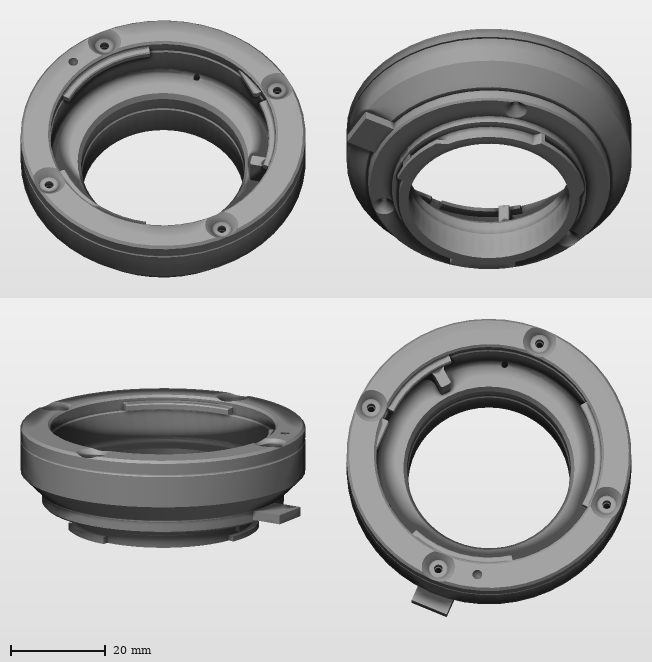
import cadquery as cq
import math

COLLAR_Z = 3.05
FLANGE_Z = 4.8
JOINT_Z = 7.8
CONE_TOP_Z = 11.75
FLOOR_Z = 11.75
PLATE_Z = 18.85
TOP_Z = 21.8

OUTER_R = 30.0

PLATE_BORE_R = 24.0
LIP_R = 23.75
PLATE_OUTER_CHAMFER = 0.55
LIP_CHAMFER = 0.5
SCREW_CIRCLE_R = 27.0
SCREW_ANGLES = [45, 135, 225, 315]
SCREW_CLEARANCE_D = 1.85
SCREW_TAPPED_D = 1.4
SCREW_TAPPED_DEPTH = 3.6
SINK_TOP_R = 3.5
SINK_FLAT_R = 2.0
SINK_DEPTH = SINK_TOP_R - SINK_FLAT_R
INDEX_DIMPLE_R = 1.0
INDEX_DIMPLE_CIRCLE_R = 26.65
INDEX_DIMPLE_ANGLE = 153

PLATE_LUG_R = 22.25
PLATE_LUG_Z = 19.15
PLATE_LUG_TOP_Z = 20.4
PLATE_LUG_CHAMFER = 0.25
PLATE_LUG_ROOT_R = 23.6
PLATE_LUG_SPANS = [(-1, 42), (115, 170.5), (220, 278.5)]
FLAT_LUG_ANGLE = 45
FLAT_LUG_GAP = 1.2
FLAT_LUG_CORNER = 0.4

HOUSING_BORE_R = 23.7
HOUSING_BORE_CHAMFER = 0.3
HOUSING_RIM_CHAMFER = 0.5
FLOOR_FILLET = 1.0
APERTURE_R = 17.3
APERTURE_SINK_R = 18.0
APERTURE_SINK_DEPTH = 1.15
POST_ANGLE = 6.7
POST_INNER_R = 18.85
POST_WIDTH = 2.35
POST_TOP_Z = 17.35
POST_CORNER_FILLET = 0.4
POST_ROOT_R = 1.9

BAYONET_BORE_R = 34.0 / 2
BORE_STEP_Z = 7.45
FLANGE_R = 51.0 / 2
FLANGE_CHAMFER = 0.4
COLLAR_R = 20.45
BAYONET_R = 19.0
BAYONET_LUG_R = 20.35
BAYONET_LUG_HEIGHT = 1.15
STOP_LUG_ANGLES = (225.3, 228.8, 276.8, 282.4)
LEVER_LUG_ANGLES = (124.7, 124.7, 163.1, 168.5)
TALL_LUG_ANGLES = (0, 0, 40, 40)
STOP_END_ANGLE = 231.4
TALL_LUG_HEIGHT = 1.5
FLANGE_SCREW_CIRCLE_R = 23.05
FLANGE_SCREW_ANGLES = [90, 210, 330]
FLANGE_SCREW_D = 1.4
FLANGE_SINK_R = 2.4

LEVER_ANGLE = 135
LEVER_REACH = 31.9
LEVER_WIDTH = 8.05
LEVER_Z = 5.6
LEVER_TOP_Z = 7.55
KEY_WIDTH = 2.65
NECK_OUTER_R = 20.3
KEY_OUTER_R = 20.05
KEY_Z = 1.7
KEY_FILLET = 0.4
SLOT_WIDTH = 3.0


def polar(radius, angle):
    """Point at a radius and an angle in degrees."""
    return (radius * math.cos(math.radians(angle)), radius * math.sin(math.radians(angle)))


def revolve(profile, sweep=360):
    """Solid turned about Z from a closed (radius, height) profile."""
    return cq.Workplane("XZ").polyline(profile).close().revolve(sweep, (0, 0, 0), (0, 1, 0))


def rotate_z(shape, angle):
    return shape.rotate((0, 0, 0), (0, 0, 1), angle)


def radial_block(inner, outer, width, bottom, top, angle):
    """Box reaching from one radius to another along the given direction."""
    block = cq.Workplane("XY").box(
        outer - inner, width, top - bottom, centered=(False, True, False)
    )
    return rotate_z(block.translate((inner, 0, bottom)), angle)


def drill(radius, angle, diameter, bottom, top):
    """Cylinder parallel to Z, used as a cutting tool."""
    hole = cq.Workplane("XY").circle(diameter / 2).extrude(top - bottom)
    return hole.translate((*polar(radius, angle), bottom))


def plate_lug(start, end):
    """Curved lug on the plate bore with its upper inner edge bevelled and a sloped root."""
    profile = [
        (PLATE_LUG_R, PLATE_LUG_Z),
        (PLATE_BORE_R, PLATE_LUG_Z),
        (PLATE_BORE_R, PLATE_LUG_TOP_Z + PLATE_BORE_R - PLATE_LUG_ROOT_R),
        (PLATE_LUG_ROOT_R, PLATE_LUG_TOP_Z),
        (PLATE_LUG_R + PLATE_LUG_CHAMFER, PLATE_LUG_TOP_Z),
        (PLATE_LUG_R, PLATE_LUG_TOP_Z - PLATE_LUG_CHAMFER),
    ]
    return rotate_z(revolve(profile, end - start), start)


def flat_lug():
    """Lug with a straight inner face that runs out into the plate bore."""
    chord_end = math.sqrt(PLATE_BORE_R**2 - PLATE_LUG_R**2)
    mid_angle = math.degrees(math.atan2(chord_end, PLATE_LUG_R)) / 2
    root = (math.sqrt(PLATE_BORE_R**2 - FLAT_LUG_GAP**2), FLAT_LUG_GAP)
    outline = (
        cq.Workplane("XY", origin=(0, 0, PLATE_LUG_Z))
        .moveTo(PLATE_LUG_R + FLAT_LUG_CORNER, FLAT_LUG_GAP)
        .lineTo(*root)
        .threePointArc(polar(PLATE_BORE_R, mid_angle), (PLATE_LUG_R, chord_end))
        .lineTo(PLATE_LUG_R, FLAT_LUG_GAP + FLAT_LUG_CORNER)
        .close()
    )
    lug = outline.extrude(PLATE_LUG_TOP_Z - PLATE_LUG_Z)
    lug = lug.faces("<X").edges(">Z").chamfer(PLATE_LUG_CHAMFER)
    return rotate_z(lug, FLAT_LUG_ANGLE)


def countersink(angle):
    sink = revolve([
        (0, TOP_Z - SINK_DEPTH),
        (SINK_FLAT_R, TOP_Z - SINK_DEPTH),
        (SINK_TOP_R, TOP_Z),
        (0, TOP_Z),
    ])
    return sink.translate((*polar(SCREW_CIRCLE_R, angle), 0))


def make_mount_plate():
    plate = revolve([
        (PLATE_BORE_R, PLATE_Z),
        (OUTER_R, PLATE_Z),
        (OUTER_R, TOP_Z - PLATE_OUTER_CHAMFER),
        (OUTER_R - PLATE_OUTER_CHAMFER, TOP_Z),
        (LIP_R + LIP_CHAMFER, TOP_Z),
        (LIP_R, TOP_Z - LIP_CHAMFER),
    ])
    for start, end in PLATE_LUG_SPANS:
        plate = plate.union(plate_lug(start, end))
    plate = plate.union(flat_lug())
    for angle in SCREW_ANGLES:
        plate = plate.cut(countersink(angle))
        plate = plate.cut(drill(SCREW_CIRCLE_R, angle, SCREW_CLEARANCE_D, PLATE_Z, TOP_Z))
    dimple = cq.Workplane("XY").sphere(INDEX_DIMPLE_R)
    dimple = dimple.translate((*polar(INDEX_DIMPLE_CIRCLE_R, INDEX_DIMPLE_ANGLE), TOP_Z))
    return plate.cut(dimple)


def housing_shell():
    """Turned shell: cone, outer wall, wide bore with a rounded floor corner, aperture."""
    cone_r = OUTER_R - (CONE_TOP_Z - JOINT_Z)
    fillet_mid = FLOOR_FILLET * (1 - math.sqrt(0.5))
    outline = (
        cq.Workplane("XZ")
        .moveTo(APERTURE_R, JOINT_Z)
        .lineTo(cone_r, JOINT_Z)
        .lineTo(OUTER_R, CONE_TOP_Z)
        .lineTo(OUTER_R, PLATE_Z - HOUSING_RIM_CHAMFER)
        .lineTo(OUTER_R - HOUSING_RIM_CHAMFER, PLATE_Z)
        .lineTo(HOUSING_BORE_R + HOUSING_BORE_CHAMFER, PLATE_Z)
        .lineTo(HOUSING_BORE_R, PLATE_Z - HOUSING_BORE_CHAMFER)
        .lineTo(HOUSING_BORE_R, FLOOR_Z + FLOOR_FILLET)
        .threePointArc(
            (HOUSING_BORE_R - fillet_mid, FLOOR_Z + fillet_mid),
            (HOUSING_BORE_R - FLOOR_FILLET, FLOOR_Z),
        )
        .lineTo(APERTURE_SINK_R, FLOOR_Z)
        .lineTo(APERTURE_R, FLOOR_Z - APERTURE_SINK_DEPTH)
        .close()
    )
    return outline.revolve(360, (0, 0, 0), (0, 1, 0))


def post():
    """Upright post on the floor, flared into the bore wall by concave arcs."""
    half = POST_WIDTH / 2
    flare = half + POST_ROOT_R
    wall_x = math.sqrt(HOUSING_BORE_R**2 - flare**2)
    neck_x = wall_x - POST_ROOT_R
    back_x = (HOUSING_BORE_R + OUTER_R) / 2
    arc_in = POST_ROOT_R * math.sqrt(0.5)
    outline = (
        cq.Workplane("XY", origin=(0, 0, FLOOR_Z))
        .moveTo(POST_INNER_R, -half)
        .lineTo(neck_x, -half)
        .threePointArc((neck_x + arc_in, arc_in - flare), (wall_x, -flare))
        .lineTo(back_x, -flare)
        .lineTo(back_x, flare)
        .lineTo(wall_x, flare)
        .threePointArc((neck_x + arc_in, flare - arc_in), (neck_x, half))
        .lineTo(POST_INNER_R, half)
        .close()
    )
    body = outline.extrude(POST_TOP_Z - FLOOR_Z)
    body = body.edges("|Z and <X").fillet(POST_CORNER_FILLET)
    return rotate_z(body, POST_ANGLE)


def make_housing():
    housing = housing_shell().union(post())
    fillet_top_z = FLOOR_Z + FLOOR_FILLET
    for angle in SCREW_ANGLES:
        tapped = drill(SCREW_CIRCLE_R, angle, SCREW_TAPPED_D, PLATE_Z - SCREW_TAPPED_DEPTH, PLATE_Z)
        housing = housing.cut(tapped)
    for angle in FLANGE_SCREW_ANGLES:
        through = drill(FLANGE_SCREW_CIRCLE_R, angle, FLANGE_SCREW_D, JOINT_Z, fillet_top_z)
        housing = housing.cut(through)
    return housing


def bayonet_lug(angles, height):
    """Outer lug on the bayonet tube; its ends slope between the two radii."""
    inner_start, outer_start, outer_end, inner_end = angles
    root_r = (BAYONET_BORE_R + BAYONET_R) / 2
    outline = (
        cq.Workplane("XY")
        .moveTo(*polar(root_r, inner_start))
        .lineTo(*polar(BAYONET_R, inner_start))
        .lineTo(*polar(BAYONET_LUG_R, outer_start))
        .threePointArc(
            polar(BAYONET_LUG_R, (outer_start + outer_end) / 2),
            polar(BAYONET_LUG_R, outer_end),
        )
        .lineTo(*polar(BAYONET_R, inner_end))
        .lineTo(*polar(root_r, inner_end))
        .threePointArc(
            polar(root_r, (inner_start + inner_end) / 2),
            polar(root_r, inner_start),
        )
        .close()
    )
    return outline.extrude(height)


def flange_screw_hole(angle):
    """Through hole, countersunk from the rear face of the flange."""
    shank_r = FLANGE_SCREW_D / 2
    hole = revolve([
        (0, FLANGE_Z),
        (FLANGE_SINK_R, FLANGE_Z),
        (shank_r, FLANGE_Z + FLANGE_SINK_R - shank_r),
        (shank_r, JOINT_Z),
        (0, JOINT_Z),
    ])
    return hole.translate((*polar(FLANGE_SCREW_CIRCLE_R, angle), 0))


def make_bayonet():
    bayonet = revolve([
        (BAYONET_BORE_R, 0),
        (BAYONET_R, 0),
        (BAYONET_R, COLLAR_Z),
        (COLLAR_R, COLLAR_Z),
        (COLLAR_R, FLANGE_Z),
        (FLANGE_R - FLANGE_CHAMFER, FLANGE_Z),
        (FLANGE_R, FLANGE_Z + FLANGE_CHAMFER),
        (FLANGE_R, JOINT_Z - FLANGE_CHAMFER),
        (FLANGE_R - FLANGE_CHAMFER, JOINT_Z),
        (APERTURE_R, JOINT_Z),
        (APERTURE_R, BORE_STEP_Z),
        (BAYONET_BORE_R, BORE_STEP_Z - (APERTURE_R - BAYONET_BORE_R)),
    ])
    bayonet = bayonet.union(bayonet_lug(STOP_LUG_ANGLES, BAYONET_LUG_HEIGHT))
    bayonet = bayonet.union(bayonet_lug(LEVER_LUG_ANGLES, BAYONET_LUG_HEIGHT))
    bayonet = bayonet.union(bayonet_lug(TALL_LUG_ANGLES, TALL_LUG_HEIGHT))
    stop_angles = (*STOP_LUG_ANGLES[:2], STOP_END_ANGLE, STOP_END_ANGLE)
    bayonet = bayonet.union(bayonet_lug(stop_angles, COLLAR_Z))
    for angle in FLANGE_SCREW_ANGLES:
        bayonet = bayonet.cut(flange_screw_hole(angle))
    lever_slot = radial_block(BAYONET_R, LEVER_REACH, LEVER_WIDTH, LEVER_Z, LEVER_TOP_Z, LEVER_ANGLE)
    key_slot = radial_block(BAYONET_R, COLLAR_R, SLOT_WIDTH, COLLAR_Z, LEVER_Z, LEVER_ANGLE)
    return bayonet.cut(lever_slot).cut(key_slot)


def make_lever():
    """Thumb plate sliding in the flange, with a neck in the collar slot and a key below it."""
    thumb_plate = radial_block(BAYONET_R, LEVER_REACH, LEVER_WIDTH, LEVER_Z, LEVER_TOP_Z, 0)
    neck = radial_block(BAYONET_R, NECK_OUTER_R, SLOT_WIDTH, COLLAR_Z, LEVER_Z, 0)
    key = radial_block(BAYONET_R, KEY_OUTER_R, KEY_WIDTH, KEY_Z, COLLAR_Z, 0)
    key = key.edges("<X and <Z").fillet(KEY_FILLET)
    return rotate_z(thumb_plate.union(neck).union(key), LEVER_ANGLE)


mount_plate = make_mount_plate()
housing = make_housing()
bayonet = make_bayonet()
lever = make_lever()

result = cq.Compound.makeCompound([
    mount_plate.val(),
    housing.val(),
    bayonet.val(),
    lever.val(),
])